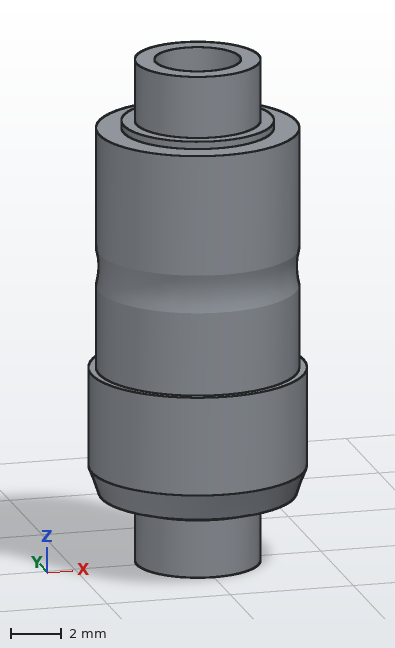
import cadquery as cq
import math

bore_diameter = 3.4
spigot_diameter = 4.95
collar_diameter = 6.0
body_diameter = 8.0
sleeve_diameter = 8.6

total_length = 20.5
spigot_length = 2.5
collar_length = 0.3
taper_length = 1.1
sleeve_length = 4.0
lower_body_length = 3.36
groove_width = 1.54

taper_angle = 20.0
groove_depth = 0.1

taper_bottom = spigot_length + collar_length
sleeve_bottom = taper_bottom + taper_length
sleeve_top = sleeve_bottom + sleeve_length
groove_bottom = sleeve_top + lower_body_length
groove_middle = groove_bottom + groove_width / 2
groove_top = groove_bottom + groove_width
upper_spigot_bottom = total_length - spigot_length
body_top = upper_spigot_bottom - collar_length

bore_radius = bore_diameter / 2
spigot_radius = spigot_diameter / 2
collar_radius = collar_diameter / 2
body_radius = body_diameter / 2
sleeve_radius = sleeve_diameter / 2
taper_end_radius = sleeve_radius - taper_length * math.tan(math.radians(taper_angle))


def half_section():
    """Closed outline of the wall on one side of the Z axis, as (radius, level) points."""
    outline = cq.Workplane("XZ").moveTo(bore_radius, 0)

    outline = outline.lineTo(spigot_radius, 0)
    outline = outline.lineTo(spigot_radius, spigot_length)
    outline = outline.lineTo(collar_radius, spigot_length)
    outline = outline.lineTo(collar_radius, taper_bottom)

    outline = outline.lineTo(taper_end_radius, taper_bottom)
    outline = outline.lineTo(sleeve_radius, sleeve_bottom)
    outline = outline.lineTo(sleeve_radius, sleeve_top)

    outline = outline.lineTo(body_radius, sleeve_top)
    outline = outline.lineTo(body_radius, groove_bottom)
    outline = outline.threePointArc(
        (body_radius - groove_depth, groove_middle),
        (body_radius, groove_top),
    )
    outline = outline.lineTo(body_radius, body_top)

    outline = outline.lineTo(collar_radius, body_top)
    outline = outline.lineTo(collar_radius, upper_spigot_bottom)
    outline = outline.lineTo(spigot_radius, upper_spigot_bottom)
    outline = outline.lineTo(spigot_radius, total_length)

    outline = outline.lineTo(bore_radius, total_length)
    return outline.close()


result = half_section().revolve(360, (0, 0, 0), (0, 1, 0))